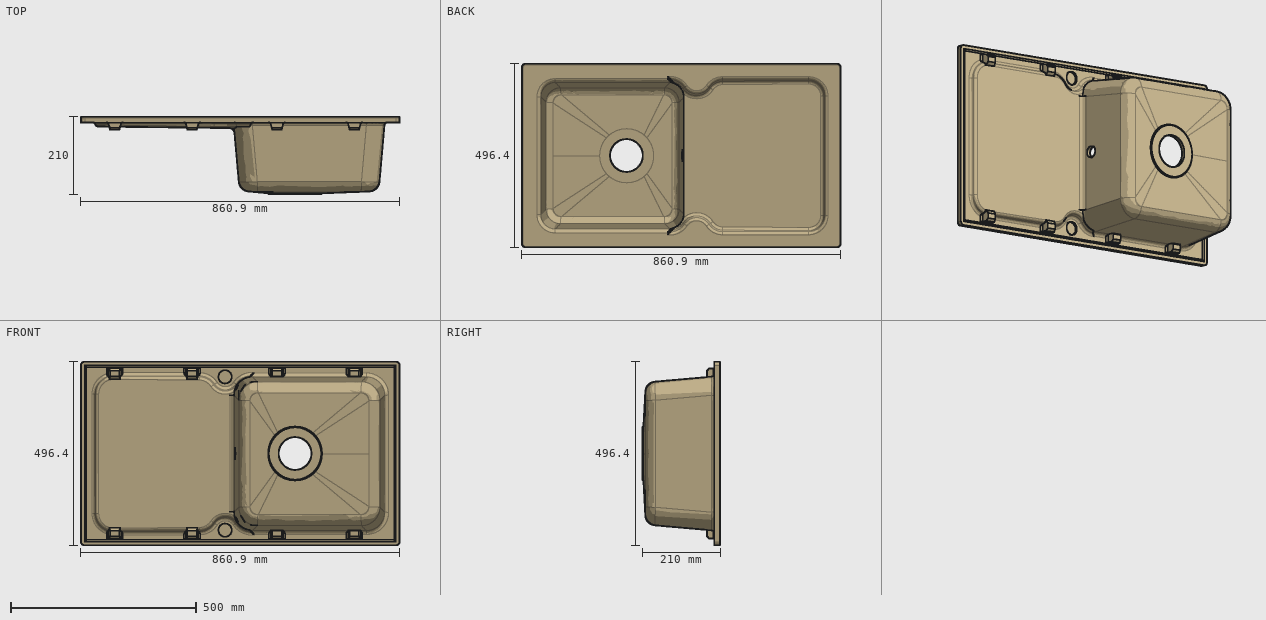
import cadquery as cq
import math


LENGTH = 860.86
WIDTH = 496.4
RIM_DEPTH = 16.5
RIM_CORNER_RADIUS = 10.0
RIM_TOP_ROUND = 3.0
LIP_WIDTH = 10.0
LIP_STEP_RUN = 5.0
DECK_DEPTH = 14.2
WALL = 11.0

BOWL_DEPTH = 202.5
BOWL_CENTER_X = 186.0
BOWL_FLOOR_HALF_X = 188.0
BOWL_FLOOR_HALF_Z = 192.0
BOWL_DRAFT = math.radians(5.0)
BOWL_CORNER_RADIUS = 50.0
BOWL_FLOOR_ROUND = 30.0
BOWL_DECK_FILLET = 10.5

PATCH_MARGIN = 14.0
PATCH_THICKNESS = 8.0
EDGE_SEARCH = 1.0

DRAIN_X = 148.0
DRAIN_DIAMETER = 88.0
DRAIN_RING_DIAMETER = 146.0
DRAIN_RING_CHAMFER = 2.5
TOTAL_DEPTH = 210.0
OUTER_FLOOR_FALL = TOTAL_DEPTH - BOWL_DEPTH - DRAIN_RING_CHAMFER
INNER_FLOOR_FALL = TOTAL_DEPTH - BOWL_DEPTH
OVERFLOW_DIAMETER = 31.0
OVERFLOW_DEPTH = 63.5

TRAY_LEFT = -395.0
TRAY_HALF_Z = 213.0
TRAY_CORNER_RADIUS = 52.0
TRAY_DRAFT_DEGREES = 26.0
TRAY_DRAFT = math.radians(TRAY_DRAFT_DEGREES)
TRAY_FILLET = 9.5
TRAY_SHALLOW_DEPTH = 27.0
TRAY_DEEP_DEPTH = 31.5
TRAY_BOWL_FILLET = 13.5

TAP_X = -41.0
TAP_Z = 207.0
TAP_DIAMETER = 36.0
TAP_RECESS = 6.0
TAP_LOBE_RADIUS = 32.0

LUG_CENTERS_X = (-339.0, -130.0, 99.0, 308.0)
LUG_DEPTH = 36.0
LUG_SHOULDER_DEPTH = 30.0
LUG_BASE_HALF_X = 22.0
LUG_NECK_HALF_X = 17.0
LUG_NECK_DEPTH = 19.0
LUG_TIP_HALF_X = 12.5
LUG_OUTER_Z = 230.0
LUG_INNER_Z = 200.0
LUG_TIP_OUTER_Z = 223.0
LUG_TIP_INNER_Z = 209.0


def plane_at(depth):
    """Workplane at a depth: local x is X, local y is Z, extrusion goes deeper."""
    return cq.Workplane("XZ").workplane(offset=depth)


def rounded_rect(half_x, half_z, radius, center_x):
    return cq.Sketch().push([(center_x, 0)]).rect(2 * half_x, 2 * half_z).reset().vertices().fillet(radius)


def tray_floor_depth(x):
    """Depth of the tray underside, which falls evenly toward the bowl."""
    fall = TRAY_DEEP_DEPTH - TRAY_SHALLOW_DEPTH
    return TRAY_SHALLOW_DEPTH + fall * (x - TRAY_LEFT) / (bowl_left(TRAY_DEEP_DEPTH) - TRAY_LEFT)


def bowl_growth(depth):
    return (BOWL_DEPTH - depth) * math.tan(BOWL_DRAFT)


def bowl_left(depth):
    return BOWL_CENTER_X - BOWL_FLOOR_HALF_X - bowl_growth(depth)


def rim_and_deck():
    body = plane_at(0).rect(LENGTH, WIDTH).extrude(RIM_DEPTH)
    body = body.edges("|Y").fillet(RIM_CORNER_RADIUS)
    body = body.faces(">Y").edges().fillet(RIM_TOP_ROUND)
    step = RIM_DEPTH - DECK_DEPTH
    outer = (LENGTH - 2 * LIP_WIDTH, WIDTH - 2 * LIP_WIDTH)
    inner = (outer[0] - 2 * LIP_STEP_RUN, outer[1] - 2 * LIP_STEP_RUN)
    recess = plane_at(DECK_DEPTH).rect(*inner).workplane(offset=step).rect(*outer).loft()
    return body.cut(recess)


def flare_onto_deck(body, deck, half_x, half_z, center_x, radius):
    """Join a body to a patch of deck ending at the given depth, with a fillet around the joint."""
    patch = plane_at(deck - PATCH_THICKNESS).center(center_x, 0)
    patch = patch.rect(2 * (half_x + PATCH_MARGIN), 2 * (half_z + PATCH_MARGIN)).extrude(PATCH_THICKNESS)
    low = (center_x - half_x - EDGE_SEARCH, -deck - EDGE_SEARCH, -half_z - EDGE_SEARCH)
    high = (center_x + half_x + EDGE_SEARCH, -deck + EDGE_SEARCH, half_z + EDGE_SEARCH)
    return patch.union(body).edges(cq.selectors.BoxSelector(low, high)).fillet(radius)


def bowl_body(top, inset):
    """Drafted bowl whose walls and floor lie the given distance inside the outer skin."""
    side_inset = inset / math.cos(BOWL_DRAFT)
    radius = BOWL_CORNER_RADIUS - inset
    floor_round = BOWL_FLOOR_ROUND - inset
    floor = BOWL_DEPTH - inset

    def size(depth):
        spread = bowl_growth(depth) - side_inset
        return 2 * (BOWL_FLOOR_HALF_X + spread), 2 * (BOWL_FLOOR_HALF_Z + spread)

    body = plane_at(top).center(BOWL_CENTER_X, 0).rect(*size(top))
    body = body.workplane(offset=floor - top).rect(*size(floor)).loft(ruled=True)
    body = body.edges("not(#Y)").fillet(radius)
    return body.faces("<Y").edges().fillet(floor_round)


def floor_funnel(inset, fall):
    """Shallow fall from the flat edge of the bowl floor to the drain ring."""
    tangent = BOWL_FLOOR_ROUND * math.tan((math.pi / 2 - BOWL_DRAFT) / 2)
    half_x = BOWL_FLOOR_HALF_X - tangent
    half_z = BOWL_FLOOR_HALF_Z - tangent
    outline = rounded_rect(half_x, half_z, BOWL_CORNER_RADIUS - tangent, BOWL_CENTER_X)
    ring = cq.Sketch().push([(DRAIN_X, 0)]).circle(DRAIN_RING_DIAMETER / 2)
    ring = ring.moved(cq.Location(cq.Vector(0, 0, fall)))
    funnel = plane_at(BOWL_DEPTH - inset).placeSketch(outline, ring).loft()
    plug = plane_at(BOWL_DEPTH - inset - WALL).placeSketch(outline).extrude(WALL)
    return funnel.union(plug)


def bowl(deck, inset, floor_fall):
    """Bowl hanging from the given deck depth, inset from the outer skin, with its flare and floor."""
    half_x = BOWL_FLOOR_HALF_X + bowl_growth(deck)
    half_z = BOWL_FLOOR_HALF_Z + bowl_growth(deck)
    body = bowl_body(deck, inset)
    flared = flare_onto_deck(body, deck, half_x, half_z, BOWL_CENTER_X, BOWL_DECK_FILLET)
    return flared.union(floor_funnel(inset, floor_fall))


def drain_ring():
    ring = plane_at(TOTAL_DEPTH - DRAIN_RING_CHAMFER - WALL / 2).center(DRAIN_X, 0)
    ring = ring.circle(DRAIN_RING_DIAMETER / 2).extrude(DRAIN_RING_CHAMFER + WALL / 2)
    return ring.faces("<Y").edges().chamfer(DRAIN_RING_CHAMFER)


def tray_outline(depth, inset):
    """Closed tray outline: a left corner, a lobe around the tap hole, then an arc into the bowl."""
    left = TRAY_LEFT + inset
    half_z = TRAY_HALF_Z - inset
    corner_radius = TRAY_CORNER_RADIUS - inset
    lobe_radius = TAP_LOBE_RADIUS + inset
    corner = (TRAY_LEFT + TRAY_CORNER_RADIUS, TRAY_HALF_Z - TRAY_CORNER_RADIUS)

    reach = TRAY_CORNER_RADIUS + TAP_LOBE_RADIUS
    shoulder_angle = math.asin((TAP_Z - corner[1]) / reach)
    shoulder = (TAP_X - reach * math.cos(shoulder_angle), corner[1])

    bowl_corner_x = bowl_left(DECK_DEPTH) + BOWL_CORNER_RADIUS
    bowl_corner_z = BOWL_FLOOR_HALF_Z + bowl_growth(DECK_DEPTH) - BOWL_CORNER_RADIUS
    span_x = bowl_corner_x - TAP_X
    span_z = TAP_Z - bowl_corner_z
    end_angle = math.atan2(span_z, span_x)
    end_radius = math.hypot(span_x, span_z) - lobe_radius

    def on_arc(center, radius, angle):
        return (center[0] + radius * math.cos(angle), center[1] + radius * math.sin(angle))

    tap = (TAP_X, TAP_Z)
    bowl_corner = (bowl_corner_x, bowl_corner_z)
    lobe_start_angle = math.pi + shoulder_angle
    lobe_end_angle = 2 * math.pi - end_angle
    bowl_arc_angle = math.pi - end_angle
    upper = [
        (None, (left, corner[1])),
        (on_arc(corner, corner_radius, 0.75 * math.pi), (corner[0], half_z)),
        (None, (shoulder[0], half_z)),
        (on_arc(shoulder, corner_radius, (math.pi / 2 + shoulder_angle) / 2),
         on_arc(shoulder, corner_radius, shoulder_angle)),
        (on_arc(tap, lobe_radius, (lobe_start_angle + lobe_end_angle) / 2),
         on_arc(tap, lobe_radius, lobe_end_angle)),
        (on_arc(bowl_corner, end_radius, (bowl_arc_angle + math.pi / 2) / 2),
         on_arc(bowl_corner, end_radius, math.pi / 2)),
    ]
    middles = [middle for middle, end in upper[1:]] + [None]
    lower = [
        (middle and (middle[0], -middle[1]), (end[0], -end[1]))
        for middle, (_, end) in zip(reversed(middles), reversed(upper))
    ]

    outline = plane_at(depth).moveTo(left, corner[1])
    for middle, end in upper[1:] + lower:
        outline = outline.threePointArc(middle, end) if middle else outline.lineTo(*end)
    return outline.close()


def tray_body(top, inset):
    """Drafted tray, cut off by its sloping floor the given distance inside the outer skin."""
    side_inset = inset / math.cos(TRAY_DRAFT) - (DECK_DEPTH - top) * math.tan(TRAY_DRAFT)
    body = tray_outline(top, side_inset).extrude(TRAY_DEEP_DEPTH + WALL - top, taper=TRAY_DRAFT_DEGREES)
    below_floor = (
        cq.Workplane("XY").workplane(offset=-WIDTH / 2)
        .moveTo(-LENGTH, inset - tray_floor_depth(-LENGTH))
        .lineTo(LENGTH, inset - tray_floor_depth(LENGTH))
        .lineTo(LENGTH, -TOTAL_DEPTH)
        .lineTo(-LENGTH, -TOTAL_DEPTH)
        .close()
        .extrude(WIDTH)
    )
    return body.cut(below_floor)


def tray(deck, inset):
    """Tray hanging from the given deck depth, with both edges of its sloping side rounded."""
    right = bowl_left(DECK_DEPTH) + BOWL_CORNER_RADIUS
    half_x = (right - TRAY_LEFT) / 2
    center_x = (right + TRAY_LEFT) / 2
    body = tray_body(deck, inset).faces("<Y").edges().fillet(TRAY_FILLET)
    return flare_onto_deck(body, deck, half_x, TRAY_HALF_Z, center_x, TRAY_FILLET)


def tray_bowl_fillet():
    """Concave round between the tray underside and the bowl wall."""
    tangent = TRAY_BOWL_FILLET * math.tan((math.pi / 2 - BOWL_DRAFT) / 2)
    wall_x = bowl_left(TRAY_DEEP_DEPTH)
    start = (wall_x - tangent, -tray_floor_depth(wall_x - tangent))
    end_depth = TRAY_DEEP_DEPTH + tangent * math.cos(BOWL_DRAFT)
    end = (bowl_left(end_depth), -end_depth)
    center = (start[0], start[1] - TRAY_BOWL_FILLET)
    half_turn = (math.pi / 2 - BOWL_DRAFT) / 2
    middle = (
        center[0] + TRAY_BOWL_FILLET * math.sin(half_turn),
        center[1] + TRAY_BOWL_FILLET * math.cos(half_turn),
    )
    half_length = BOWL_FLOOR_HALF_Z + bowl_growth(TRAY_DEEP_DEPTH) - BOWL_CORNER_RADIUS
    profile = cq.Workplane("XY").workplane(offset=-half_length).moveTo(*start).threePointArc(middle, end)
    profile = profile.lineTo(end[0] + WALL / 2, end[1]).lineTo(end[0] + WALL / 2, start[1] + WALL / 2)
    return profile.lineTo(start[0], start[1] + WALL / 2).close().extrude(2 * half_length)


def lug(center_x, side):
    """Tapered fixing lug with chamfered tip; side is +1 or -1 along Z."""
    root = DECK_DEPTH - WALL / 2
    front = (
        cq.Workplane("XY").workplane(offset=-WIDTH / 2)
        .moveTo(center_x - LUG_BASE_HALF_X, -root)
        .lineTo(center_x + LUG_BASE_HALF_X, -root)
        .lineTo(center_x + LUG_BASE_HALF_X, -DECK_DEPTH)
        .lineTo(center_x + LUG_NECK_HALF_X, -LUG_NECK_DEPTH)
        .lineTo(center_x + LUG_TIP_HALF_X, -LUG_DEPTH)
        .lineTo(center_x - LUG_TIP_HALF_X, -LUG_DEPTH)
        .lineTo(center_x - LUG_NECK_HALF_X, -LUG_NECK_DEPTH)
        .lineTo(center_x - LUG_BASE_HALF_X, -DECK_DEPTH)
        .close()
        .extrude(WIDTH)
    )
    end_points = [
        (-root, side * LUG_OUTER_Z),
        (-LUG_SHOULDER_DEPTH, side * LUG_OUTER_Z),
        (-LUG_DEPTH, side * LUG_TIP_OUTER_Z),
        (-LUG_DEPTH, side * LUG_TIP_INNER_Z),
        (-LUG_SHOULDER_DEPTH, side * LUG_INNER_Z),
        (-root, side * LUG_INNER_Z),
    ]
    end = cq.Workplane("YZ").workplane(offset=center_x - LUG_BASE_HALF_X).polyline(end_points).close()
    return front.intersect(end.extrude(2 * LUG_BASE_HALF_X))


def outside():
    body = rim_and_deck().union(tray(DECK_DEPTH, 0)).union(bowl(DECK_DEPTH, 0, OUTER_FLOOR_FALL))
    body = body.union(drain_ring()).union(tray_bowl_fillet())
    for side in (1, -1):
        for center_x in LUG_CENTERS_X:
            body = body.union(lug(center_x, side))
    return body


def cut_openings(body):
    taps = plane_at(DECK_DEPTH - TAP_RECESS).pushPoints([(TAP_X, TAP_Z), (TAP_X, -TAP_Z)])
    body = body.cut(taps.circle(TAP_DIAMETER / 2).extrude(TAP_RECESS))
    drain = plane_at(0).center(DRAIN_X, 0).circle(DRAIN_DIAMETER / 2).extrude(TOTAL_DEPTH)
    overflow = cq.Workplane("YZ").workplane(offset=bowl_left(0)).center(-OVERFLOW_DEPTH, 0)
    overflow = overflow.circle(OVERFLOW_DIAMETER / 2).extrude(BOWL_CENTER_X - bowl_left(0))
    return body.cut(drain).cut(overflow)


shell = outside().cut(tray(0, WALL)).cut(bowl(0, WALL, INNER_FLOOR_FALL))
result = cut_openings(shell)